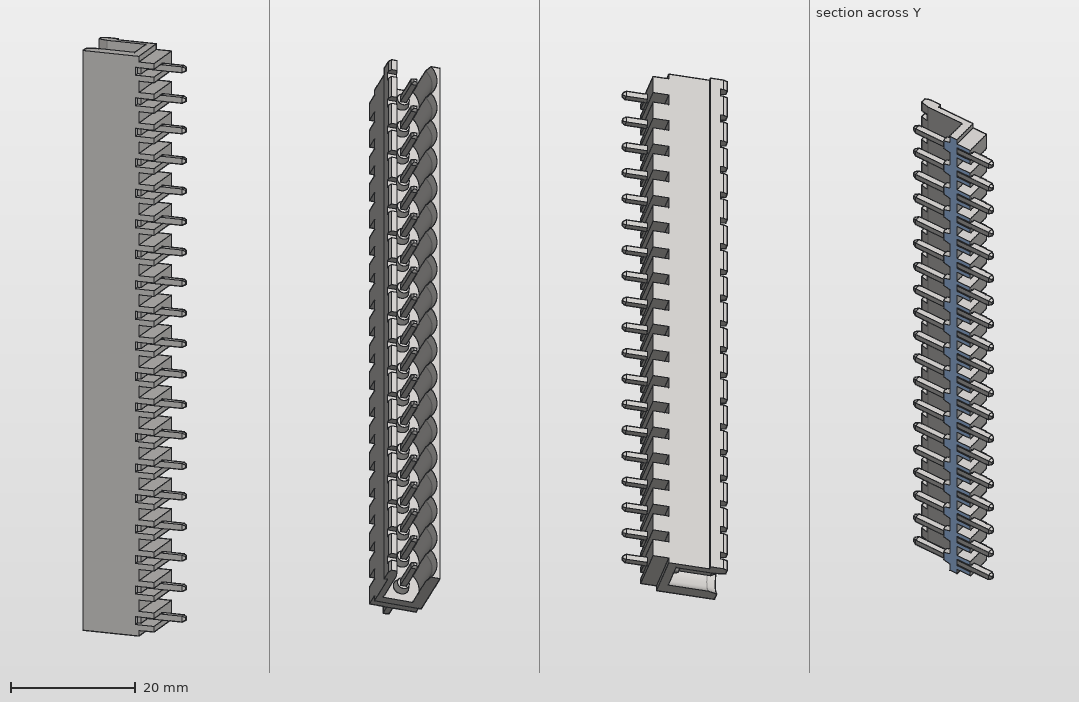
import cadquery as cq

pin_count = 19
pitch = 5.08
length = pin_count * pitch
pin_y = 3.9

width = 7.9
wall_depth = 9.6
floor_x = 8.15
lead_in = 1.5
upper_inner_y = 6.9
upper_mouth_y = 7.25

lip_top_y = 8.5
lip_end_x = 2.85
lip_chamfer_x = 0.7
lip_chamfer_y = 0.3

notch_depth = 1.2
notch_height = 1.3

scallop_center_y = 4.3
scallop_radius = 3.45
scallop_mouth_radius = 3.75

foot_end_x = 12.2
foot_height = 3.2
slot_start_x = 9.0
slot_height = 1.3
slot_recess_y = 1.0

pin_start_x = 0.9
pin_end_x = 16.2
pin_size = 1.0
pin_tip_size = 0.5
front_tip_length = 0.6
back_tip_length = 0.5
collar_start_x = 6.95
collar_start_radius = 1.0
collar_end_radius = 1.3

pin_heights = [(index + 0.5) * pitch for index in range(pin_count)]


def box(x_range, y_range, z_center, height):
    """Box spanning the given X and Y ranges, centred in Z on z_center."""
    x_size = x_range[1] - x_range[0]
    y_size = y_range[1] - y_range[0]
    corner = cq.Vector(x_range[0], y_range[0], z_center - height / 2)
    return cq.Solid.makeBox(x_size, y_size, height, corner)


def make_housing():
    """Solid channel body with the lip; the cavity is removed separately."""
    return (
        cq.Workplane("XY")
        .moveTo(0, 0)
        .lineTo(wall_depth, 0)
        .lineTo(wall_depth, width)
        .lineTo(lip_end_x, width)
        .lineTo(lip_end_x, lip_top_y)
        .lineTo(lip_chamfer_x, lip_top_y)
        .lineTo(0, lip_top_y - lip_chamfer_y)
        .close()
        .extrude(length)
    )


def make_cavity_cell(z):
    """One pitch of the channel: flat upper side, scalloped lower side, flared mouth."""
    upper = (
        cq.Workplane("XY", origin=(0, 0, z - pitch / 2))
        .moveTo(0, scallop_center_y)
        .lineTo(floor_x, scallop_center_y)
        .lineTo(floor_x, upper_inner_y)
        .lineTo(lead_in, upper_inner_y)
        .lineTo(0, upper_mouth_y)
        .close()
        .extrude(pitch)
        .val()
    )
    along_x = cq.Vector(1, 0, 0)
    center = cq.Vector(0, scallop_center_y, z)
    bore = cq.Solid.makeCylinder(scallop_radius, floor_x, center, along_x)
    flare = cq.Solid.makeCone(scallop_mouth_radius, scallop_radius, lead_in, center, along_x)
    lower_half = box((0, floor_x), (0, scallop_center_y), z, pitch)
    return upper.fuse(bore.fuse(flare).intersect(lower_half))


def make_pin(z):
    """Square contact with tapered ends and a conical collar on the channel floor."""
    shank = box(
        (pin_start_x + front_tip_length, pin_end_x - back_tip_length),
        (pin_y - pin_size / 2, pin_y + pin_size / 2),
        z,
        pin_size,
    )

    def tip(base_x, tip_length):
        return (
            cq.Workplane("YZ", origin=(base_x, pin_y, z))
            .rect(pin_size, pin_size)
            .workplane(offset=tip_length)
            .rect(pin_tip_size, pin_tip_size)
            .loft(ruled=True)
            .val()
        )

    front_tip = tip(pin_start_x + front_tip_length, -front_tip_length)
    back_tip = tip(pin_end_x - back_tip_length, back_tip_length)
    collar = cq.Solid.makeCone(
        collar_start_radius,
        collar_end_radius,
        floor_x - collar_start_x,
        cq.Vector(collar_start_x, pin_y, z),
        cq.Vector(1, 0, 0),
    )
    return shank.fuse(front_tip, back_tip, collar)


def make_foot(z):
    """Standoff block behind the channel."""
    return box((wall_depth, foot_end_x), (0, width), z, foot_height)


def make_back_slot(z):
    """Slot open to -Y: shallow in the channel back, down to the contact between the foot prongs."""
    recess = box((slot_start_x, wall_depth), (0, slot_recess_y), z, slot_height)
    gap = box((wall_depth, foot_end_x), (0, pin_y), z, slot_height)
    return recess.fuse(gap)


def make_notch(z):
    """Notch through the lip end of the upper wall."""
    return box((0, notch_depth), (upper_inner_y, lip_top_y), z, notch_height)


housing = make_housing().val()
housing = housing.fuse(*[make_foot(z) for z in pin_heights])
housing = housing.cut(*[make_cavity_cell(z) for z in pin_heights])
housing = housing.cut(*[make_notch(z) for z in pin_heights])
housing = housing.cut(*[make_back_slot(z) for z in pin_heights])
result = cq.Workplane(housing.fuse(*[make_pin(z) for z in pin_heights]).clean())